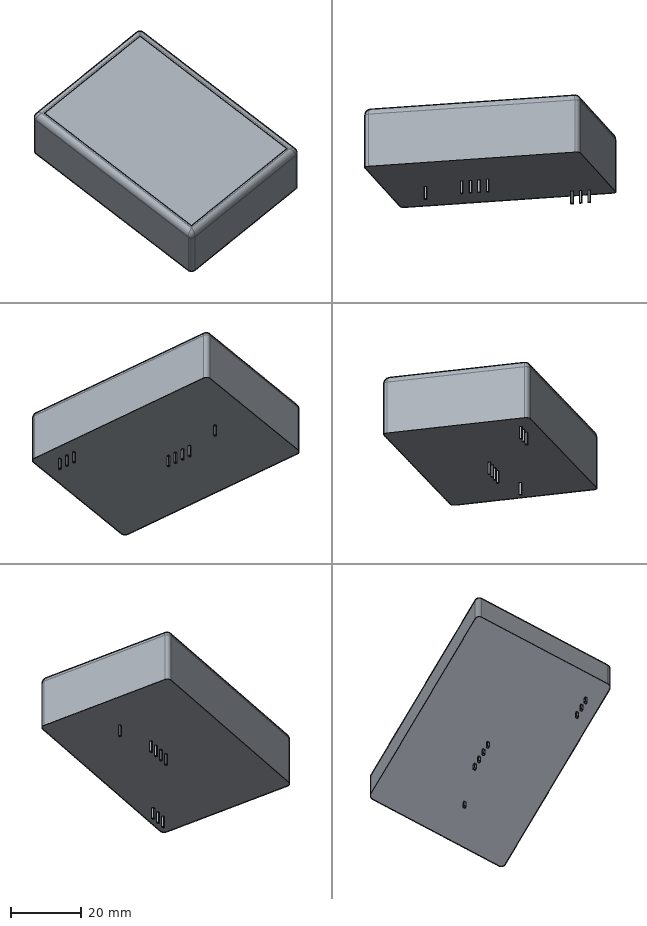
import cadquery as cq

LENGTH = 63.5
WIDTH = 44.0
TOTAL_HEIGHT = 21.1
PIN_LENGTH = 3.6
HOUSING_HEIGHT = TOTAL_HEIGHT - PIN_LENGTH
CORNER_RADIUS = 1.35
RIM_RADIUS = 2.0

PANEL_MARGIN = 2.5
PANEL_LENGTH = LENGTH - 2 * PANEL_MARGIN
PANEL_WIDTH = WIDTH - 2 * PANEL_MARGIN
PANEL_THICKNESS = 0.65
PANEL_BASE = HOUSING_HEIGHT - PANEL_THICKNESS

PIN_SIDE = 0.65
PIN_PITCH = 2.55
PIN_GROUPS = [
    (3, -24.8, -17.35),
    (4, 0.65, 0.45),
    (1, 19.75, -2.65),
]


def make_panel():
    """Flat rectangular plate, level with the top of the housing."""
    return (
        cq.Workplane("XY")
        .workplane(offset=PANEL_BASE)
        .rect(PANEL_LENGTH, PANEL_WIDTH)
        .extrude(PANEL_THICKNESS)
    )


def make_housing(panel):
    """Rounded block standing on Z = 0, with a recess that fits the panel."""
    block = cq.Workplane("XY").rect(LENGTH, WIDTH).extrude(HOUSING_HEIGHT)
    rim_rounded = block.faces(">Z").edges().fillet(RIM_RADIUS)
    rounded = rim_rounded.edges("|Z").fillet(CORNER_RADIUS)
    return rounded.cut(panel)


def make_pin(x, y):
    """Square pin that touches the underside of the housing."""
    return cq.Workplane("XY").center(x, y).rect(PIN_SIDE, PIN_SIDE).extrude(-PIN_LENGTH)


panel = make_panel()
housing = make_housing(panel)

pins = []
for count, first_x, group_y in PIN_GROUPS:
    for index in range(count):
        pins.append(make_pin(first_x + index * PIN_PITCH, group_y).val())

result = cq.Compound.makeCompound([housing.val(), panel.val(), *pins])